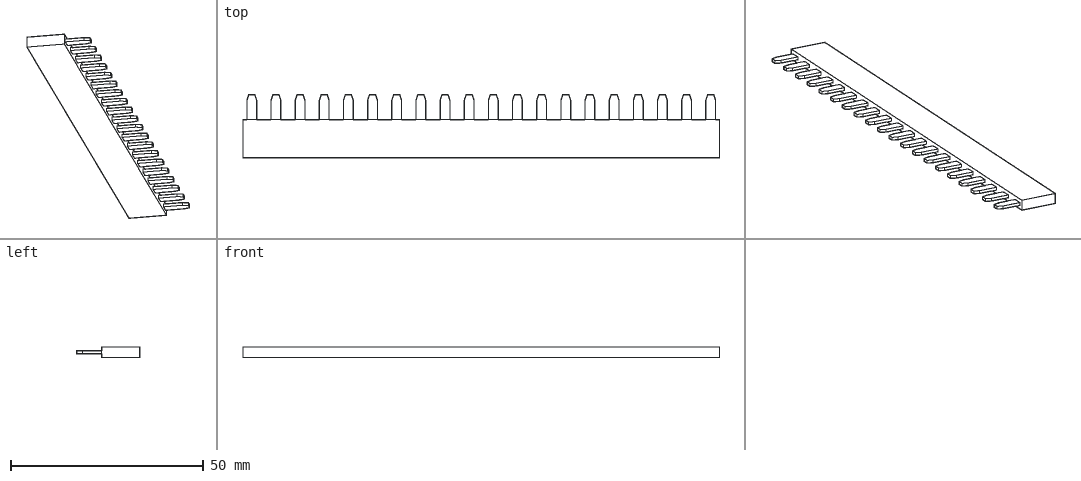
import cadquery as cq


bar_length = 124.0
bar_depth = 10.0
bar_thickness = 2.8

overall_depth = 16.5
tooth_count = 20
tooth_width = 2.6
end_margin = 1.0
tooth_pitch = (bar_length - 2 * end_margin - tooth_width) / (tooth_count - 1)
tooth_thickness = 0.8
tooth_length = overall_depth - bar_depth
tip_width = 1.6
tip_chamfer_length = 1.5


def make_bar():
    """Plain rectangular bar, centred on X and Z, with its tooth side at Y = bar_depth."""
    return cq.Workplane("XY").box(bar_length, bar_depth, bar_thickness, centered=(True, False, True))


def make_tooth(x_center):
    """Flat tooth on the mid-plane of the bar, with its free end chamfered on both sides."""
    half_width = tooth_width / 2
    half_tip = tip_width / 2
    straight_length = tooth_length - tip_chamfer_length
    return (
        cq.Workplane("XY", origin=(x_center, bar_depth, 0))
        .moveTo(-half_width, 0)
        .lineTo(-half_width, straight_length)
        .lineTo(-half_tip, tooth_length)
        .lineTo(half_tip, tooth_length)
        .lineTo(half_width, straight_length)
        .lineTo(half_width, 0)
        .close()
        .extrude(tooth_thickness / 2, both=True)
    )


result = make_bar()
first_tooth_x = -tooth_pitch * (tooth_count - 1) / 2
for index in range(tooth_count):
    result = result.union(make_tooth(first_tooth_x + index * tooth_pitch))